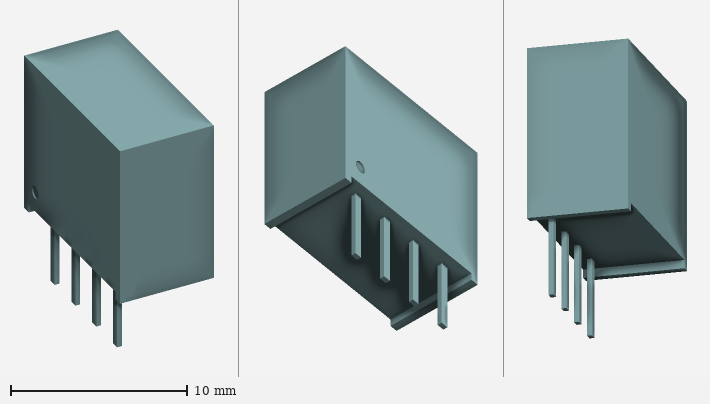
import cadquery as cq

case_width = 11.68
case_depth = 6.0
total_height = 14.26
pin_reach = 4.09
case_height = total_height - pin_reach

foot_width = 0.54
foot_height = 0.5

pin_count = 4
pin_pitch = 2.54
pin_width = 0.5
pin_thickness = 0.3
pin_setback = 0.9

mark_diameter = 0.8
mark_depth = 0.1
mark_from_left = 1.33
mark_height = 1.77


def make_case():
    case = cq.Workplane("XY").box(case_width, case_depth, case_height, centered=(True, False, False))
    channel = cq.Workplane("XY").box(
        case_width - 2 * foot_width, case_depth, foot_height, centered=(True, False, False)
    )
    return case.cut(channel)


def make_mark():
    return (
        cq.Workplane("XZ")
        .center(mark_from_left - case_width / 2, mark_height)
        .circle(mark_diameter / 2)
        .extrude(-mark_depth)
    )


def make_pins():
    return (
        cq.Workplane("XY", origin=(0, pin_setback, -pin_reach))
        .rarray(pin_pitch, 0.14, pin_count, 1)
        .rect(pin_width, pin_thickness)
        .extrude(pin_reach + foot_height)
    )


result = make_case().cut(make_mark()).union(make_pins())